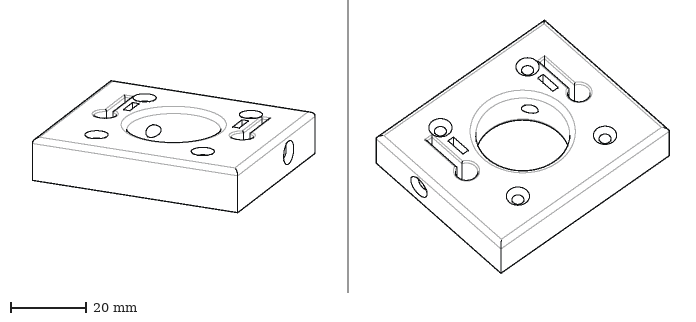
import cadquery as cq

length = 60.0
width = 50.0
height = 12.0
edge_radius = 1.5

bore_diameter = 25.0
bore_rim_radius = 1.5

screw_spacing = 31.0
screw_diameter = 3.2
screw_sink_diameter = 6.2

keyhole_spacing = 40.0
keyhole_head_diameter = 6.0
keyhole_slot_width = 1.85
keyhole_slot_reach = 14.8
keyhole_rim_radius = 0.5

cross_y = 7.85
cross_z = height / 2
cross_diameter = 3.5
cross_sink_diameter = 6.5
nut_spacing = 32.0
nut_thickness = 1.9
nut_width = 6.0
nut_depth = cross_z + nut_width / 2


def countersunk_hole(diameter, sink_diameter, depth):
    """Hole going down from the origin, with a 90 degree countersink at its mouth."""
    radius = diameter / 2
    sink_radius = sink_diameter / 2
    sink_depth = sink_radius - radius
    profile = cq.Workplane("XZ").polyline([
        (0, 0),
        (sink_radius, 0),
        (radius, -sink_depth),
        (radius, -depth),
        (0, -depth),
    ])
    return profile.close().revolve(360, (0, 0, 0), (0, 1, 0))


def keyhole():
    """Through keyhole centred on its round head, with its slot running toward +Y."""
    head = cq.Workplane("XY").circle(keyhole_head_diameter / 2).extrude(height)
    slot = (
        cq.Workplane("XY", origin=(0, keyhole_slot_reach / 2, 0))
        .rect(keyhole_slot_width, keyhole_slot_reach)
        .extrude(height)
    )
    return head.union(slot)


plate = (
    cq.Workplane("XY")
    .box(length, width, height, centered=(True, True, False))
    .faces(">Z")
    .edges()
    .fillet(edge_radius)
)

for side in (-1, 1):
    plate = plate.cut(keyhole().translate((side * keyhole_spacing / 2, 0, 0)))
keyhole_rims = plate.faces(">Z").val().innerWires()
rim_edges = [edge for wire in keyhole_rims for edge in wire.Edges()]
plate = plate.newObject(rim_edges).fillet(keyhole_rim_radius)

plate = plate.cut(cq.Workplane("XY").circle(bore_diameter / 2).extrude(height))
bore_rims = plate.edges(cq.selectors.RadiusNthSelector(-1))
plate = bore_rims.fillet(bore_rim_radius)

screw_hole = countersunk_hole(screw_diameter, screw_sink_diameter, height)
for x_side in (-1, 1):
    for y_side in (-1, 1):
        position = (x_side * screw_spacing / 2, y_side * screw_spacing / 2, height)
        plate = plate.cut(screw_hole.translate(position))

for side in (-1, 1):
    cross_hole = (
        countersunk_hole(cross_diameter, cross_sink_diameter, length / 2)
        .rotate((0, 0, 0), (0, 1, 0), side * 90)
        .translate((side * length / 2, cross_y, cross_z))
    )
    plate = plate.cut(cross_hole)

for side in (-1, 1):
    pocket = (
        cq.Workplane("XY", origin=(side * nut_spacing / 2, cross_y, height - nut_depth))
        .rect(nut_thickness, nut_width)
        .extrude(nut_depth)
    )
    plate = plate.cut(pocket)

result = plate